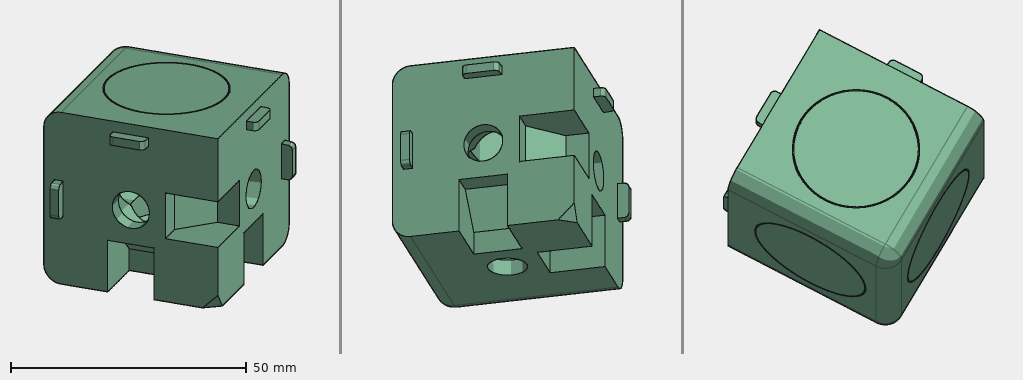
import cadquery as cq
import math

cube_side = 40.0
half = cube_side / 2
edge_round = 4.0
corner_cut = 3.53
corner_cut_depth = 2.5

diagonal = (1, -1, -1)
turns = (0, 120, 240)

cap_dia = 26.5
cap_rise = 0.5
cap_thickness = 1.0
cap_gap = 0.25

neck_dia = 8.5
neck_depth = 3.5
bore_dia = 16.3
flare_end = neck_depth + (bore_dia - neck_dia) / 2

slot_width = 10.6
slot_depth = 12.05
slot_wall = 5.07

tab_length = 8.15
tab_thickness = 1.98
tab_height = 2.5
tab_round = 1.0
tab_draft = 5
tab_inset = 3.5


def spread(body):
    """The body and its two turned copies around the diagonal."""
    return [body.rotate((0, 0, 0), diagonal, angle) for angle in turns]


def make_corner_cutter():
    """Tetrahedron at the corner where +X, -Y and -Z meet."""
    corner = cq.Vector(half, -half, -half)
    along_x = corner + cq.Vector(-corner_cut, 0, 0)
    along_y = corner + cq.Vector(0, corner_cut_depth, 0)
    along_z = corner + cq.Vector(0, 0, corner_cut)
    triangles = [
        (corner, along_x, along_y),
        (corner, along_y, along_z),
        (corner, along_z, along_x),
        (along_x, along_y, along_z),
    ]
    faces = [cq.Face.makeFromWires(cq.Wire.makePolygon(points, close=True)) for points in triangles]
    return cq.Workplane(cq.Solid.makeSolid(cq.Shell.makeShell(faces)))


def make_block():
    block = cq.Workplane("XY").box(cube_side, cube_side, cube_side)
    outer_edges = block.faces("<X").edges("not <Y").add(block.faces(">Y").edges("not >X"))
    return outer_edges.fillet(edge_round).cut(make_corner_cutter())


def make_passage():
    """Cutter along Z: neck at -Z, flare, bore and the cap seat at +Z."""
    seat_floor = half - cap_thickness
    seat_radius = cap_dia / 2 + cap_gap
    return (
        cq.Workplane("XZ")
        .polyline([
            (0, -half),
            (neck_dia / 2, -half),
            (neck_dia / 2, -half + neck_depth),
            (bore_dia / 2, -half + flare_end),
            (bore_dia / 2, seat_floor),
            (seat_radius, seat_floor),
            (seat_radius, half),
            (0, half),
        ])
        .close()
        .revolve(360, (0, 0, 0), (0, 1, 0))
    )


def make_slot():
    """Cutter along X for the edge between -Y and -Z, with a 45 degree bevel inside."""
    inner = -half + slot_depth
    bevel_start = -half + slot_wall
    return (
        cq.Workplane("YZ")
        .polyline([
            (-half, -half),
            (inner, -half),
            (inner, bevel_start),
            (bevel_start, inner),
            (-half, inner),
        ])
        .close()
        .extrude(slot_width / 2, both=True)
    )


def make_tab():
    """Tab centred on the -Y face, long in X, with the drafted end at +X."""
    end = tab_length / 2
    drafted_end = end - tab_height * math.tan(math.radians(tab_draft))
    return (
        cq.Workplane("XY", origin=(0, -half, 0))
        .polyline([(-end, 0), (-end, -tab_height), (drafted_end, -tab_height), (end, 0)])
        .close()
        .extrude(tab_thickness / 2, both=True)
        .edges("<Y and |Z")
        .fillet(tab_round)
    )


def make_tabs():
    """A level and an upright tab on each of the -Y and +X faces."""
    offset = half - tab_inset
    level = make_tab().translate((0, 0, offset))
    upright = make_tab().rotate((0, 0, 0), (0, 1, 0), -90)
    quarter_turn = ((0, 0, 0), (0, 0, 1), 90)
    return [
        level,
        level.rotate(*quarter_turn),
        upright.translate((-offset, 0, 0)),
        upright.rotate(*quarter_turn).translate((0, offset, 0)),
    ]


def make_housing():
    housing = make_block()
    for cutter in spread(make_passage()) + spread(make_slot()):
        housing = housing.cut(cutter)
    for tab in make_tabs():
        housing = housing.union(tab)
    return housing


def make_cap():
    """Cap for the +Z seat: a flat disc with a shallow cone on top."""
    radius = cap_dia / 2
    return (
        cq.Workplane("XZ")
        .polyline([
            (0, half - cap_thickness),
            (radius, half - cap_thickness),
            (radius, half),
            (0, half + cap_rise),
        ])
        .close()
        .revolve(360, (0, 0, 0), (0, 1, 0))
    )


housing = make_housing().solids()
caps = spread(make_cap())

result = cq.Compound.makeCompound([housing.val(), *[cap.val() for cap in caps]])